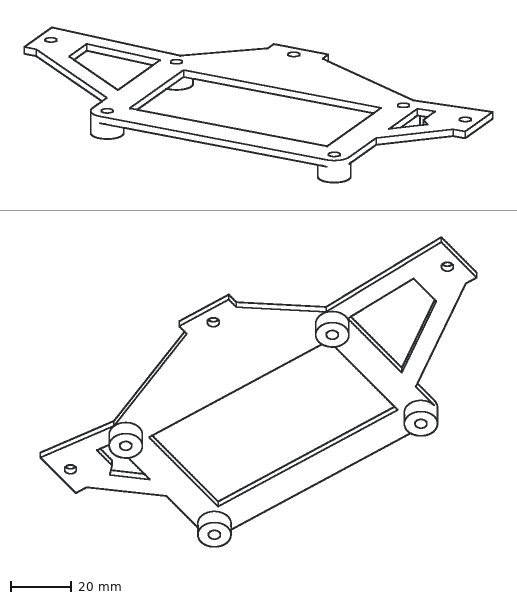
import cadquery as cq

plate_thickness = 2.5
standoff_diameter = 11.0
standoff_radius = standoff_diameter / 2
standoff_drop = 5.5
hole_diameter = 4.0
standoff_pitch_x = 85.0
standoff_pitch_y = 49.8

frame_left = -standoff_radius
frame_right = standoff_pitch_x + standoff_radius
frame_front = -standoff_radius
frame_back = standoff_pitch_y + standoff_radius

overall_length = 165
left_end = -51.0
right_end = left_end + overall_length
ear_front = 38.3
ear_depth = 20.0
ear_back = ear_front + ear_depth
ear_foot_width = 4.5
ear_hole_inset = 5.0
ear_hole_y = 48.0
left_strut_y = 10.4
right_strut_y = 19.5

overall_depth = 84.5
tab_center_x = 31.5
tab_width = 20.5
tab_left = tab_center_x - tab_width / 2
tab_right = tab_center_x + tab_width / 2
tab_back = frame_front + overall_depth
tab_side_length = 4.3
tab_shoulder_y = tab_back - tab_side_length
tab_hole_inset = 5.3

left_valley_x = -1.5
right_valley_x = standoff_pitch_x + 0.8

left_opening_outer_x = -33.8
left_opening_outer_back = 50.3
left_opening_inner_back = 48.7
left_opening_outer_front = 37.6
left_opening_inner_front = 18.3
right_opening_outer_x = 96.9
right_opening_outer_back = 49.8
right_opening_inner_back = 49.2
right_opening_step_y = 41.2
right_opening_tip_x = 100.0
right_opening_tip_y = ear_front
right_opening_inner_front = 28.7


def prism(points):
    """Closed polygon extruded through the plate thickness."""
    return cq.Workplane("XY").polyline(points).close().extrude(plate_thickness)


def make_plate():
    outline = [
        (frame_left, frame_front),
        (frame_right, frame_front),
        (frame_right, right_strut_y),
        (right_end - ear_foot_width, ear_front),
        (right_end, ear_front),
        (right_end, ear_back),
        (right_valley_x, frame_back),
        (tab_right, tab_shoulder_y),
        (tab_right, tab_back),
        (tab_left, tab_back),
        (tab_left, tab_shoulder_y),
        (left_valley_x, frame_back),
        (left_end, ear_back),
        (left_end, ear_front),
        (left_end + ear_foot_width, ear_front),
        (frame_left, left_strut_y),
    ]
    front_corners = cq.selectors.BoxSelector(
        (frame_left - 1.6, frame_front - 1.6, 0),
        (frame_right + 1.6, frame_front + 1.6, plate_thickness),
    )
    return prism(outline).edges("|Z").edges(front_corners).fillet(standoff_radius)


def make_main_window():
    return cq.Workplane("XY").box(
        standoff_pitch_x - standoff_diameter,
        standoff_pitch_y - standoff_diameter,
        plate_thickness,
        centered=False,
    ).translate((standoff_radius, standoff_radius, 0))


def make_left_opening():
    return prism([
        (left_opening_outer_x, left_opening_outer_front),
        (frame_left, left_opening_inner_front),
        (frame_left, left_opening_inner_back),
        (left_opening_outer_x, left_opening_outer_back),
    ])


def make_right_opening():
    return prism([
        (frame_right, right_opening_inner_front),
        (right_opening_tip_x, right_opening_tip_y),
        (right_opening_outer_x, right_opening_step_y),
        (right_opening_outer_x, right_opening_outer_back),
        (frame_right, right_opening_inner_back),
    ])


def cylinders(centers, diameter, top_z):
    """Vertical cylinders from the level of the standoff feet up to top_z."""
    return (
        cq.Workplane("XY", origin=(0, 0, -standoff_drop))
        .pushPoints(centers)
        .circle(diameter / 2)
        .extrude(standoff_drop + top_z)
    )


standoff_centers = [(x, y) for x in (0, standoff_pitch_x) for y in (0, standoff_pitch_y)]
mounting_centers = [
    (left_end + ear_hole_inset, ear_hole_y),
    (right_end - ear_hole_inset, ear_hole_y),
    (tab_center_x, tab_back - tab_hole_inset),
]

plate = make_plate().cut(make_main_window()).cut(make_left_opening()).cut(make_right_opening())
body = plate.union(cylinders(standoff_centers, standoff_diameter, 0))
result = body.cut(cylinders(standoff_centers + mounting_centers, hole_diameter, plate_thickness))